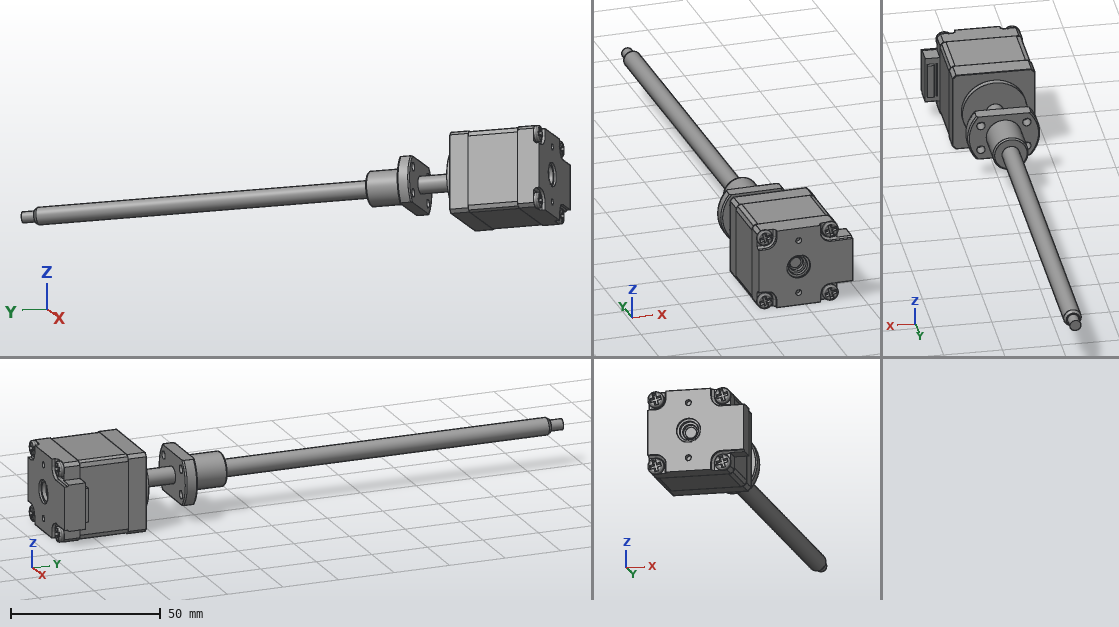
import cadquery as cq
import math


TOTAL_LENGTH = 186.6
MOTOR_WIDTH = 28.0
MOTOR_LENGTH = 31.6
REAR_Y = -MOTOR_LENGTH
TIP_Y = TOTAL_LENGTH - MOTOR_LENGTH

FRONT_COVER_LENGTH = 6.6
REAR_COVER_LENGTH = 7.6
REAR_COVER_FRONT_Y = REAR_Y + REAR_COVER_LENGTH
COVER_CHAMFER = 1.2
FRONT_EDGE_CHAMFER = 0.2
STATOR_WIDTH = 27.9
STATOR_CORNER_RUN = 2.0
STATOR_CORNER_INSET = 0.5
PILOT_DIAMETER = 22.0
PILOT_HEIGHT = 2.0

CONNECTOR_REACH = 19.0
CONNECTOR_WIDTH = 16.4
SOCKET_WIDTH = 12.0
LIP_INNER_X = 16.1
LIP_OUTER_X = 18.4
LIP_HEIGHT = 1.2
RIDGE_INNER_X = 14.9
RIDGE_OUTER_X = 15.3
RIDGE_HEIGHT = 0.5

REAR_BORE_STEPS = [(8.2, 0.8), (6.6, 2.2), (5.0, 3.6)]
SHAFT_END_Y = REAR_Y + REAR_BORE_STEPS[-1][1]
PIN_HOLE_DIAMETER = 2.0
PIN_HOLE_DEPTH = 2.0
PIN_HOLE_OFFSET = 9.5

SCREW_OFFSET = 11.5
HEAD_DIAMETER = 5.4
HEAD_HEIGHT = 1.5
HEAD_FILLET = 0.6
SHANK_DIAMETER = 2.5
SHANK_LENGTH = 8.0
RECESS_RADIUS = 3.8
RECESS_DEPTH = 1.9
RECESS_FLOOR_CHAMFER = 0.8
CROSS_LENGTH = 4.0
CROSS_WIDTH = 1.3
CROSS_DEPTH = 1.0
CROSS_TAPER = 15.0
CROSS_ANGLE = -15.0

LEAD_DIAMETER = 6.0
JOURNAL_DIAMETER = 3.8
TIP_LENGTH = 4.5
LEAD_CHAMFER_LENGTH = 1.1
LEAD_CHAMFER_DEPTH = 0.7

NUT_REAR_Y = 14.8
NUT_LENGTH = 17.6
NUT_DIAMETER = 12.0
NUT_CHAMFER = 0.5
FLANGE_DIAMETER = 24.5
FLANGE_HEIGHT = 16.0
FLANGE_THICKNESS = 4.4
FLANGE_CHAMFER = 0.5
FLANGE_HOLE_DIAMETER = 2.8
FLANGE_HOLE_CIRCLE = 18.0
FLANGE_HOLE_ANGLE = 30.0

SIGNS = [(1, 1), (1, -1), (-1, 1), (-1, -1)]


def plane_at(y):
    """Workplane facing +Y at the given Y, with local x = X and local y = -Z."""
    return cq.Workplane(cq.Plane(origin=(0, y, 0), xDir=(1, 0, 0), normal=(0, 1, 0)))


def cylinder(diameter, y_start, y_end):
    return plane_at(y_start).circle(diameter / 2).extrude(y_end - y_start)


def block(x_start, x_end, y_start, y_end, z_width):
    """Box between two X and two Y positions, centred on Z = 0."""
    size_x = x_end - x_start
    return plane_at(y_start).center(x_start + size_x / 2, 0).rect(size_x, z_width).extrude(y_end - y_start)


def make_cover_block(y_start, y_end):
    square = block(-MOTOR_WIDTH / 2, MOTOR_WIDTH / 2, y_start, y_end, MOTOR_WIDTH)
    return square.edges("|Y").chamfer(COVER_CHAMFER)


def make_stator():
    """Square section whose corners are each cut by two facets meeting on the diagonal."""
    half = STATOR_WIDTH / 2
    start = half - STATOR_CORNER_RUN
    middle = half - STATOR_CORNER_INSET
    corner = [(half, start), (middle, middle), (start, half)]
    outline = []
    for quarter in range(4):
        outline += corner
        corner = [(-v, u) for u, v in corner]
    length = -FRONT_COVER_LENGTH - REAR_COVER_FRONT_Y
    return plane_at(REAR_COVER_FRONT_Y).polyline(outline).close().extrude(length)


def make_front_body():
    """Front cover, pilot and stator as one solid."""
    cover = make_cover_block(-FRONT_COVER_LENGTH, 0)
    cover = cover.faces(">Y").edges().chamfer(FRONT_EDGE_CHAMFER)
    pilot = cylinder(PILOT_DIAMETER, 0, PILOT_HEIGHT)
    return cover.union(make_stator()).union(pilot)


def make_screw_recess(sign_x, sign_z):
    """Round-cornered recess, open towards the two outer sides of its corner."""
    size = CONNECTOR_REACH
    centre = SCREW_OFFSET - RECESS_RADIUS + size / 2
    recess = (
        cq.Workplane("XY")
        .box(size, RECESS_DEPTH, size)
        .edges("|Y")
        .fillet(RECESS_RADIUS)
        .faces(">Y")
        .chamfer(RECESS_FLOOR_CHAMFER)
    )
    return recess.translate((sign_x * centre, REAR_Y + RECESS_DEPTH / 2, sign_z * centre))


def make_rear_cover():
    cover = make_cover_block(REAR_Y, REAR_COVER_FRONT_Y)

    face_y = REAR_COVER_FRONT_Y
    cover = cover.union(block(0, CONNECTOR_REACH, REAR_Y, face_y, CONNECTOR_WIDTH))
    cover = cover.union(block(LIP_INNER_X, LIP_OUTER_X, face_y, face_y + LIP_HEIGHT, SOCKET_WIDTH))
    cover = cover.union(block(RIDGE_INNER_X, RIDGE_OUTER_X, face_y, face_y + RIDGE_HEIGHT, SOCKET_WIDTH))

    for sign_x, sign_z in SIGNS:
        cover = cover.cut(make_screw_recess(sign_x, sign_z))

    pin_hole = cylinder(PIN_HOLE_DIAMETER, REAR_Y, REAR_Y + PIN_HOLE_DEPTH)
    for z in (PIN_HOLE_OFFSET, -PIN_HOLE_OFFSET):
        cover = cover.cut(pin_hole.translate((0, 0, z)))

    for diameter, depth in REAR_BORE_STEPS:
        cover = cover.cut(cylinder(diameter, REAR_Y, REAR_Y + depth))
    return cover


def make_cover_screw(x, z):
    """Domed-head screw with a tapered cross recess."""
    seat_y = REAR_Y + RECESS_DEPTH
    head_y = seat_y - HEAD_HEIGHT
    head = cylinder(HEAD_DIAMETER, head_y, seat_y).faces("<Y").edges().fillet(HEAD_FILLET)
    screw = head.union(cylinder(SHANK_DIAMETER, seat_y, seat_y + SHANK_LENGTH))
    for width, height in ((CROSS_LENGTH, CROSS_WIDTH), (CROSS_WIDTH, CROSS_LENGTH)):
        slot = plane_at(head_y).rect(width, height).extrude(CROSS_DEPTH, taper=CROSS_TAPER)
        screw = screw.cut(slot.rotate((0, 0, 0), (0, 1, 0), CROSS_ANGLE))
    return screw.translate((x, 0, z))


def make_lead_screw():
    """Turned shaft: journal inside the motor, screw with a tapered end, and tip journal."""
    radius = LEAD_DIAMETER / 2
    journal = JOURNAL_DIAMETER / 2
    shoulder_y = TIP_Y - TIP_LENGTH
    outline = [
        (0, SHAFT_END_Y),
        (journal, SHAFT_END_Y),
        (journal, REAR_COVER_FRONT_Y),
        (radius, REAR_COVER_FRONT_Y),
        (radius, shoulder_y - LEAD_CHAMFER_LENGTH),
        (radius - LEAD_CHAMFER_DEPTH, shoulder_y),
        (journal, shoulder_y),
        (journal, TIP_Y),
        (0, TIP_Y),
    ]
    return cq.Workplane("XY").polyline(outline).close().revolve(360, (0, 0), (0, 1))


def make_nut():
    """Sleeve on a round flange that is cut flat above and below."""
    flange_y = NUT_REAR_Y + FLANGE_THICKNESS
    flange = cylinder(FLANGE_DIAMETER, NUT_REAR_Y, flange_y).edges().chamfer(FLANGE_CHAMFER)
    flats = block(-FLANGE_DIAMETER, FLANGE_DIAMETER, NUT_REAR_Y, flange_y, FLANGE_HEIGHT)
    sleeve = cylinder(NUT_DIAMETER, NUT_REAR_Y, NUT_REAR_Y + NUT_LENGTH).faces(">Y").chamfer(NUT_CHAMFER)
    nut = flange.intersect(flats).union(sleeve)

    hole = cylinder(FLANGE_HOLE_DIAMETER, NUT_REAR_Y, flange_y)
    angle = math.radians(FLANGE_HOLE_ANGLE)
    hole_x = FLANGE_HOLE_CIRCLE / 2 * math.cos(angle)
    hole_z = FLANGE_HOLE_CIRCLE / 2 * math.sin(angle)
    for sign_x, sign_z in SIGNS:
        nut = nut.cut(hole.translate((sign_x * hole_x, 0, sign_z * hole_z)))
    return nut


lead_screw = make_lead_screw()
cover_screws = [make_cover_screw(sign_x * SCREW_OFFSET, sign_z * SCREW_OFFSET) for sign_x, sign_z in SIGNS]

front_body = make_front_body().cut(lead_screw)
rear_cover = make_rear_cover().cut(lead_screw)
nut = make_nut().cut(lead_screw)
for cover_screw in cover_screws:
    front_body = front_body.cut(cover_screw)
    rear_cover = rear_cover.cut(cover_screw)

result = cq.Compound.makeCompound(
    [
        front_body.val(),
        rear_cover.val(),
        lead_screw.val(),
        nut.val(),
        *[cover_screw.val() for cover_screw in cover_screws],
    ]
)